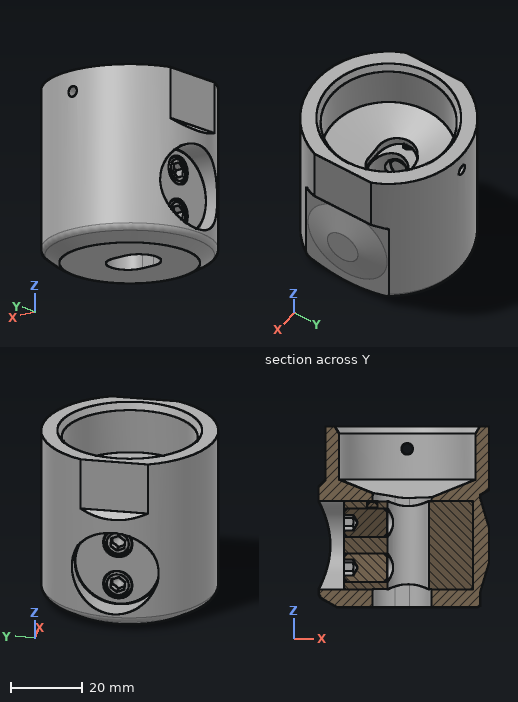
import cadquery as cq
import math

height = 51.0
housing_radius = 25.0
foot_radius = 19.85
foot_slope = 30.0
foot_fillet = 2.15

bore_radius = 19.2
bore_mouth_radius = 20.4
bore_mouth_depth = 2.05
funnel_rim_z = 36.05
funnel_slope = 22.0

flat_offset = 23.05
left_flat_bottom_z = 35.95
low_flat_offset = 20.6
low_flat_top_z = 31.65
low_flat_slope = 30.0

boss_base_radius = 13.45
boss_tip_radius = 5.2

wall_hole_radius = 1.55
wall_hole_z = 44.7

piston_axis_z = 17.55
piston_radius = 12.45
piston_chamfer = 0.3
piston_face_x = -17.85
eye_radius = 5.8
eye_x = 0.3
piston_end_x = 2 * eye_x - piston_face_x

slot_radius = 6.2
slot_left_x = -3.45
slot_right_x = 0.6

screw_radius = 4.0
screw_chamfer = 0.8
screw_offset = 6.3
screw_hole_mouth_radius = 4.2
screw_tip_x = -5.6
socket_width = 4.0
socket_depth = 2.55
socket_floor_slope = 30.0
socket_turn = 7.0
screw_heights = [piston_axis_z + side * screw_offset for side in (1, -1)]

pin_x = -9.8
pin_radius = 1.45
pin_chamfer = 0.7
pin_bottom_z = 28.25
pin_top_z = 29.8


def rod_along_x(radius, start_x, end_x, axis_z):
    return (
        cq.Workplane("YZ", origin=(start_x, 0, axis_z))
        .circle(radius)
        .extrude(end_x - start_x)
    )


def turned_about_z(points):
    return cq.Workplane("XZ").polyline(points).close().revolve(360, (0, 0, 0), (0, 1, 0))


def bar_along_y(points):
    """Prism with an XZ outline, wide enough to cross the whole housing."""
    return cq.Workplane("XZ").polyline(points).close().extrude(housing_radius, both=True)


def make_shell():
    foot_height = (housing_radius - foot_radius) * math.tan(math.radians(foot_slope))
    shell = turned_about_z([
        (0, 0),
        (foot_radius, 0),
        (housing_radius, foot_height),
        (housing_radius, height),
        (0, height),
    ])
    foot_corner = (0, 0, foot_height)
    return shell.edges(cq.selectors.NearestToPointSelector(foot_corner)).fillet(foot_fillet)


def make_bore():
    funnel_depth = bore_radius * math.tan(math.radians(funnel_slope))
    return turned_about_z([
        (0, funnel_rim_z - funnel_depth),
        (bore_radius, funnel_rim_z),
        (bore_radius, height - bore_mouth_depth),
        (bore_mouth_radius, height),
        (0, height),
    ])


def make_left_flat():
    """Wrench flat on the -X side, ending below in a 45 degree slope."""
    flat_depth = housing_radius - flat_offset
    return bar_along_y([
        (-flat_offset, height),
        (-flat_offset, left_flat_bottom_z),
        (-housing_radius, left_flat_bottom_z - flat_depth),
        (-housing_radius, height),
    ])


def make_right_flats():
    step = flat_offset - low_flat_offset
    step_top_z = low_flat_top_z + step * math.tan(math.radians(low_flat_slope))
    return bar_along_y([
        (flat_offset, height),
        (flat_offset, step_top_z),
        (low_flat_offset, low_flat_top_z),
        (low_flat_offset, 0),
        (housing_radius, 0),
        (housing_radius, height),
    ])


def make_boss():
    return (
        cq.Workplane("YZ", origin=(low_flat_offset, 0, piston_axis_z))
        .circle(boss_base_radius)
        .workplane(offset=flat_offset - low_flat_offset)
        .circle(boss_tip_radius)
        .loft()
    )


def make_slot():
    straight = slot_right_x - slot_left_x
    return (
        cq.Workplane("XY", origin=((slot_left_x + slot_right_x) / 2, 0, 0))
        .slot2D(straight + 2 * slot_radius, 2 * slot_radius)
        .extrude(funnel_rim_z)
    )


def make_wall_hole():
    return (
        cq.Workplane("XZ", origin=(0, 0, wall_hole_z))
        .circle(wall_hole_radius)
        .extrude(-housing_radius)
    )


def make_housing():
    return (
        make_shell()
        .cut(make_left_flat())
        .cut(make_right_flats())
        .union(make_boss())
        .cut(make_bore())
        .cut(rod_along_x(piston_radius, -housing_radius, piston_end_x, piston_axis_z))
        .cut(make_slot())
        .cut(make_wall_hole())
    )


def make_pin():
    return (
        cq.Workplane("XY", origin=(pin_x, 0, pin_bottom_z))
        .circle(pin_radius)
        .extrude(pin_top_z - pin_bottom_z)
        .faces(">Z")
        .chamfer(pin_chamfer)
    )


def make_piston():
    piston = rod_along_x(piston_radius, piston_face_x, piston_end_x, piston_axis_z)
    piston = piston.faces("<X or >X").chamfer(piston_chamfer)
    eye = cq.Workplane("XY", origin=(eye_x, 0, 0)).circle(eye_radius).extrude(height)
    pin_hole = (
        cq.Workplane("XY", origin=(pin_x, 0, pin_bottom_z)).circle(pin_radius).extrude(piston_radius)
    )
    piston = piston.cut(eye).cut(pin_hole)
    mouth_depth = screw_hole_mouth_radius - screw_radius
    for screw_z in screw_heights:
        hole = rod_along_x(screw_radius, piston_face_x, eye_x, screw_z)
        mouth = (
            cq.Workplane("YZ", origin=(piston_face_x, 0, screw_z))
            .circle(screw_hole_mouth_radius)
            .workplane(offset=mouth_depth)
            .circle(screw_radius)
            .loft()
        )
        piston = piston.cut(hole).cut(mouth)
    return piston


def make_socket(screw_z):
    """Hexagonal socket whose floor is a cone."""
    corner_radius = socket_width / 2 / math.cos(math.pi / 6)
    floor_depth = corner_radius * math.tan(math.radians(socket_floor_slope))
    tip_x = socket_depth + floor_depth
    hexagon = (
        cq.Workplane("YZ")
        .transformed(rotate=(0, 0, 90 + socket_turn))
        .polygon(6, 2 * corner_radius)
        .extrude(tip_x)
    )
    drill = (
        cq.Workplane("XY")
        .polyline([(0, 0), (0, corner_radius), (socket_depth, corner_radius), (tip_x, 0)])
        .close()
        .revolve(360, (0, 0, 0), (1, 0, 0))
    )
    return hexagon.intersect(drill).translate((piston_face_x, 0, screw_z))


def make_set_screw(screw_z):
    screw = rod_along_x(screw_radius, piston_face_x, screw_tip_x, screw_z)
    return screw.faces("<X or >X").chamfer(screw_chamfer).cut(make_socket(screw_z))


housing = make_housing()
piston = make_piston()
set_screws = [make_set_screw(screw_z) for screw_z in screw_heights]
pin = make_pin()

result = cq.Compound.makeCompound([
    housing.val(),
    piston.val(),
    *[screw.val() for screw in set_screws],
    pin.val(),
])